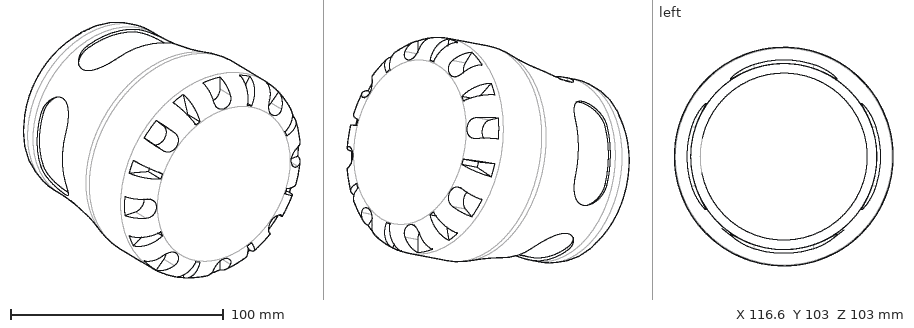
import cadquery as cq
import math

length = 116.6
body_radius = 103.0 / 2
neck_radius = 87.6 / 2
dome_radius = 67.6
dome_fillet = 10.7
neck_end = 25.5
flare_arc_radius = 183.1
flare_fillet = 11.7
rear_round = 12.4

recess_start = 28.8
recess_end = 50.8
recess_span = 49.9
recess_floor_radius = 42.5
recess_count = 4

notch_start = 106.9
wide_notch_width = 10.0
narrow_notch_width = 6.5
narrow_notch_floor_width = 2.6
notch_floor_radius = 39.6
notches_per_width = 8

clearance = 5.8


def make_body():
    """Revolve the dome, neck, concave flare and body, then round the corners."""
    dome_depth = dome_radius - math.sqrt(dome_radius**2 - neck_radius**2)
    half_angle = math.asin(neck_radius / dome_radius) / 2
    dome_middle = (dome_radius * (1 - math.cos(half_angle)), dome_radius * math.sin(half_angle))

    flare_rise = body_radius - neck_radius
    flare_angle = math.acos(1 - flare_rise / flare_arc_radius)
    flare_middle = (
        neck_end + flare_arc_radius * math.sin(flare_angle / 2),
        neck_radius + flare_arc_radius * (1 - math.cos(flare_angle / 2)),
    )
    flare_end = neck_end + flare_arc_radius * math.sin(flare_angle)

    profile = (
        cq.Workplane("XY")
        .moveTo(0, 0)
        .threePointArc(dome_middle, (dome_depth, neck_radius))
        .lineTo(neck_end, neck_radius)
        .threePointArc(flare_middle, (flare_end, body_radius))
        .lineTo(length, body_radius)
        .lineTo(length, 0)
        .close()
    )
    body = profile.revolve(360, (0, 0, 0), (1, 0, 0))

    def circle_at(x):
        return cq.selectors.BoxSelector(
            (x - 0.1, -body_radius, -body_radius),
            (x + 0.1, body_radius, body_radius),
        )

    body = body.edges(circle_at(dome_depth)).fillet(dome_fillet)
    body = body.edges(circle_at(flare_end)).fillet(flare_fillet)
    return body.edges(circle_at(length)).fillet(rear_round)


def make_recess():
    """Oblong cutter on the -Y side with a floor concentric with the neck."""
    recess_width = recess_end - recess_start
    oblong = (
        cq.Workplane("XZ")
        .center((recess_start + recess_end) / 2, 0)
        .slot2D(recess_span, recess_width, 90)
        .extrude(body_radius + clearance)
    )
    core = cq.Workplane("YZ").circle(recess_floor_radius).extrude(length)
    return oblong.cut(core)


def extrude_notch(section):
    """Run a closed notch section from the notch start past the rear face."""
    return section.extrude(length - notch_start + clearance)


def make_wide_notch():
    """Round-bottomed cutter on the -Y side with parallel walls."""
    half = wide_notch_width / 2
    outer = -(body_radius + clearance)
    arc_start = -(notch_floor_radius + half)
    section = (
        cq.Workplane("YZ", origin=(notch_start, 0, 0))
        .moveTo(outer, -half)
        .lineTo(arc_start, -half)
        .threePointArc((-notch_floor_radius, 0), (arc_start, half))
        .lineTo(outer, half)
        .close()
    )
    return extrude_notch(section)


def make_narrow_notch():
    """Flat-bottomed cutter on the -Y side with walls that close in towards the axis."""
    floor_half = narrow_notch_floor_width / 2
    surface_half = narrow_notch_width / 2
    taper = (surface_half - floor_half) / (body_radius - notch_floor_radius)
    outer_half = surface_half + clearance * taper
    outer = -(body_radius + clearance)
    section = (
        cq.Workplane("YZ", origin=(notch_start, 0, 0))
        .moveTo(outer, -outer_half)
        .lineTo(-notch_floor_radius, -floor_half)
        .lineTo(-notch_floor_radius, floor_half)
        .lineTo(outer, outer_half)
        .close()
    )
    return extrude_notch(section)


def cut_around(body, cutter, count, first_angle=0.0):
    """Cut evenly spaced copies of the cutter around the X axis."""
    for index in range(count):
        angle = first_angle + index * 360 / count
        body = body.cut(cutter.rotate((0, 0, 0), (1, 0, 0), angle))
    return body


half_step = 180 / notches_per_width
result = make_body()
result = cut_around(result, make_recess(), recess_count)
result = cut_around(result, make_wide_notch(), notches_per_width)
result = cut_around(result, make_narrow_notch(), notches_per_width, half_step)